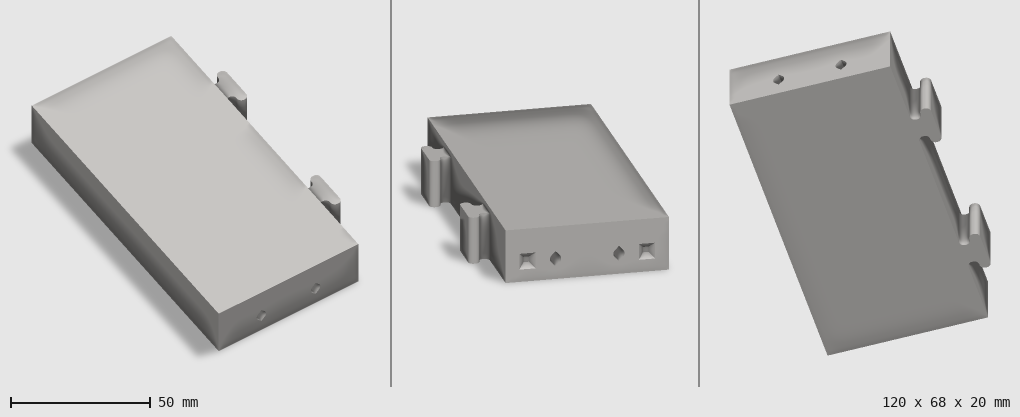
import cadquery as cq
import math

cell = 60.0
cell_count = 2
block_length = cell * cell_count
block_width = cell
block_height = 20.0
cell_centers = [(i - (cell_count - 1) / 2) * cell for i in range(cell_count)]
left_face_x = -block_length / 2
back_face_y = block_width / 2

key_reach = 8.0
key_height = 17.5
key_head_width = 16.0
key_neck_width = 8.0
key_corner_radius = 1.8

end_feature_z = 7.7
rod_hole_diameter = 4.1
rod_hole_y = 11.6
pocket_y = 22.0
pocket_mouth = 6.0
pocket_floor = 2.0
pocket_depth = (pocket_mouth - pocket_floor) / 2

letter_depth = 1.0
baseline_y = -12.0

e_left, e_right = -7.8, 7.2
e_top, e_bottom = 6.1, -12.4
e_top_x = -0.2
e_waist_y = -3.1
e_shoulder_y = -1.0
e_bar_top, e_bar_bottom = -1.7, -4.1
e_inner_left, e_inner_right = -4.3, 3.7
e_eye_top = 3.2
e_bowl_bottom = -9.8
e_bowl_x = 1.0
e_tail_inner = (5.3, -8.3)
e_tail_outer = (6.4, -10.2)

f_stem_left, f_stem_right = -3.0, 0.1
f_serif_left, f_serif_right = -5.6, 2.8
f_serif_top = -9.8
f_bar_right = 4.0
f_bar_bottom, f_bar_top = 3.2, 5.5
f_hook_start_y = 8.9
f_hook_top = 13.9
f_hook_top_x = 1.7
f_hook_under = 11.2
f_hook_under_x = 2.3
f_tip_top = (5.2, 13.4)
f_tip_bottom = (4.8, 11.2)

UP, DOWN, LEFT, RIGHT = (0, 1), (0, -1), (-1, 0), (1, 0)
TAIL_SLOPE = (-2, -1)


def make_key(center_x):
    """T-shaped key: a neck flared at both ends and a head with rounded corners."""
    r = key_corner_radius
    tip_x = key_head_width / 2
    neck_x = key_neck_width / 2
    head_y = key_reach / 2
    return (
        cq.Workplane("XY", origin=(center_x, back_face_y, 0))
        .lineTo(neck_x + r, 0)
        .radiusArc((neck_x, r), r)
        .lineTo(neck_x, head_y - r)
        .radiusArc((neck_x + r, head_y), r)
        .lineTo(tip_x - r, head_y)
        .radiusArc((tip_x, head_y + r), -r)
        .lineTo(tip_x, key_reach - r)
        .radiusArc((tip_x - r, key_reach), -r)
        .lineTo(0, key_reach)
        .mirrorY()
        .extrude(key_height)
    )


def make_rod_hole(y):
    """Round hole along the whole block, pointed at 45 degrees above and below."""
    radius = rod_hole_diameter / 2
    touch = radius / math.sqrt(2)
    tip = radius * math.sqrt(2)
    return (
        cq.Workplane("YZ", origin=(left_face_x, y, end_feature_z))
        .moveTo(touch, touch)
        .threePointArc((radius, 0), (touch, -touch))
        .lineTo(0, -tip)
        .lineTo(-touch, -touch)
        .threePointArc((-radius, 0), (-touch, touch))
        .lineTo(0, tip)
        .close()
        .extrude(block_length)
    )


def make_pocket(y):
    """Square pocket in the left end, narrowing to a small flat floor."""
    return (
        cq.Workplane("YZ", origin=(left_face_x, y, end_feature_z))
        .rect(pocket_mouth, pocket_mouth)
        .workplane(offset=pocket_depth)
        .rect(pocket_floor, pocket_floor)
        .loft(ruled=True)
    )


def letter_plane(center_x):
    """Plane of the letter undersides, centred on one cell."""
    return cq.Workplane("XY", origin=(center_x, 0, block_height - letter_depth))


def make_letter_e(center_x):
    """Letter "e": an open bowl with a crossbar, less its closed eye."""
    body = (
        letter_plane(center_x)
        .moveTo(e_inner_left, e_bar_bottom)
        .lineTo(e_right, e_bar_bottom)
        .lineTo(e_right, e_shoulder_y)
        .spline([(e_top_x, e_top)], tangents=[UP, LEFT], includeCurrent=True)
        .spline([(e_left, e_waist_y)], tangents=[LEFT, DOWN], includeCurrent=True)
        .spline([(e_top_x, e_bottom)], tangents=[DOWN, RIGHT], includeCurrent=True)
        .tangentArcPoint(e_tail_outer, relative=False)
        .lineTo(*e_tail_inner)
        .spline([(e_bowl_x, e_bowl_bottom)], tangents=[TAIL_SLOPE, LEFT], includeCurrent=True)
        .spline([(e_inner_left, e_bar_bottom)], tangents=[LEFT, UP], includeCurrent=True)
        .close()
        .extrude(letter_depth)
    )
    eye = (
        letter_plane(center_x)
        .moveTo(e_inner_left, e_bar_top)
        .lineTo(e_inner_right, e_bar_top)
        .spline([(e_top_x, e_eye_top)], tangents=[UP, LEFT], includeCurrent=True)
        .spline([(e_inner_left, e_bar_top)], tangents=[LEFT, DOWN], includeCurrent=True)
        .close()
        .extrude(letter_depth)
    )
    return body.cut(eye)


def make_letter_f(center_x):
    """Letter "f": a hooked stem with a crossbar and a foot serif."""
    return (
        letter_plane(center_x)
        .moveTo(f_serif_left, baseline_y)
        .lineTo(f_serif_right, baseline_y)
        .lineTo(f_serif_right, f_serif_top)
        .lineTo(f_stem_right, f_serif_top)
        .lineTo(f_stem_right, f_bar_bottom)
        .lineTo(f_bar_right, f_bar_bottom)
        .lineTo(f_bar_right, f_bar_top)
        .lineTo(f_stem_right, f_bar_top)
        .lineTo(f_stem_right, f_hook_start_y)
        .spline([(f_hook_under_x, f_hook_under)], tangents=[UP, RIGHT], includeCurrent=True)
        .lineTo(*f_tip_bottom)
        .lineTo(*f_tip_top)
        .lineTo(f_hook_top_x, f_hook_top)
        .spline([(f_stem_left, f_hook_start_y)], tangents=[LEFT, DOWN], includeCurrent=True)
        .lineTo(f_stem_left, f_bar_top)
        .lineTo(f_serif_left, f_bar_top)
        .lineTo(f_serif_left, f_bar_bottom)
        .lineTo(f_stem_left, f_bar_bottom)
        .lineTo(f_stem_left, f_serif_top)
        .lineTo(f_serif_left, f_serif_top)
        .close()
        .extrude(letter_depth)
    )


def make_block(inlays):
    """Block with its keys, end holes and pockets, and a recess for each inlay."""
    block = cq.Workplane("XY").box(
        block_length, block_width, block_height, centered=(True, True, False)
    )
    for center_x in cell_centers:
        block = block.union(make_key(center_x))
    for side in (-1, 1):
        block = block.cut(make_rod_hole(side * rod_hole_y))
        block = block.cut(make_pocket(side * pocket_y))
    for inlay in inlays:
        block = block.cut(inlay)
    return block


letter_e = make_letter_e(cell_centers[0])
letter_f = make_letter_f(cell_centers[1])
block = make_block([letter_e, letter_f])

result = cq.Compound.makeCompound([block.val(), letter_e.val(), letter_f.val()])